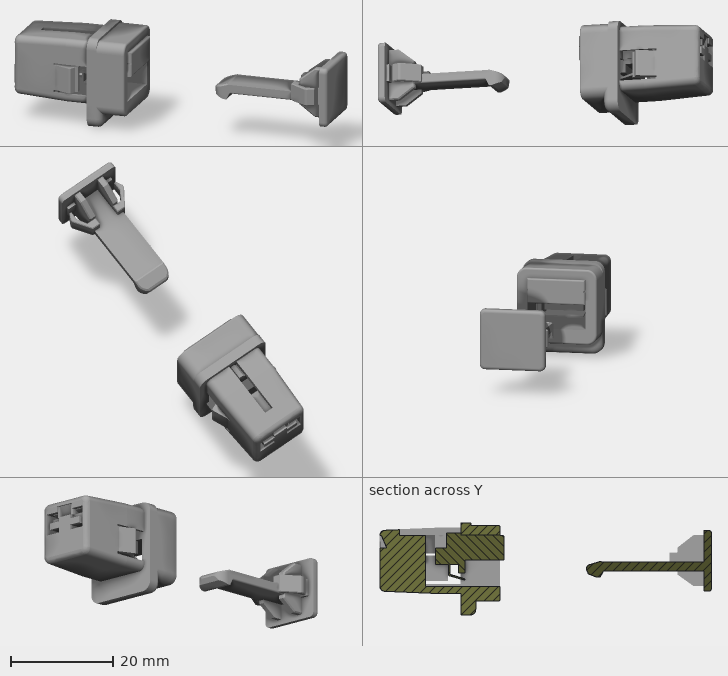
import cadquery as cq

NOSE_HALF = 6.0
PLUG_HALF = 6.45
PLUG_CORNER = 1.3
NOSE_ROUND = 1.05
TAPER_END = 11.0
FLANGE_START = 15.85
FLANGE_END = 17.9
FLANGE_HALF_WIDTH = 8.0
FLANGE_TOP = 7.4
FLANGE_BOTTOM = -10.65
OUTER_CORNER = 1.95
LIP_END = 18.85
LIP_ROUND = 1.2
BLOCK_END = 23.6
BLOCK_TOP = 6.95
BLOCK_BOTTOM = -7.9
BLOCK_EDGE_ROUND = 0.4

CAVITY_START = 9.0
CAVITY_HALF_WIDTH = 5.8
CAVITY_HALF_HEIGHT = 5.0
WINDOW_START = 8.4
WINDOW_TOP = 1.4
WINDOW_BOTTOM = -4.6
KEYWAY_START = 3.9
KEYWAY_HALF_WIDTH = 0.9
BRACKET_INNER = 1.5
BRACKET_OUTER = 4.9
BRACKET_WALL = 3.9
BRACKET_BOTTOM = -0.45
BRACKET_ARM_TOP = 0.5
BRACKET_UPPER_FLOOR = 1.8
BRACKET_TOP = 3.8
BRACKET_RECESS_BOTTOM = 2.7
BRACKET_RECESS_CEILING = 3.2
BRACKET_RECESS_MOUTH_TOP = 3.65
THROAT_HALF_WIDTH = 2.0
THROAT_FLOOR = 2.6
THROAT_TOP = 4.9
RAMP_START = 0.3
POCKET_DEPTH = 1.0
POCKET_UNDERCUT = 1.0

LATCH_ROOT = 8.85
LATCH_TOP = 1.05
LATCH_BOTTOM = -4.0
LATCH_ROOT_Y = 6.3
LATCH_CREST_START = 11.95
LATCH_CREST_END = 12.35
LATCH_PEAK = 7.6
LATCH_BEND = 12.9
LATCH_BEND_Y = 6.25
LATCH_TIP_Y = 6.0
LATCH_TIP = 13.4
LATCH_INNER = 5.2

INSERT_START = 10.85
INSERT_END = 24.4
INSERT_FRONT_HALF_WIDTH = BRACKET_WALL
INSERT_FRONT_BOTTOM = -0.8
INSERT_REAR_BOTTOM = 0.05
INSERT_EDGE_ROUND = 0.3
NOTCH_FLOOR = 2.6
NOTCH_END = 13.0
KEY_HALF_WIDTH = 0.45
KEY_HEIGHT = 0.5
LEG_START = 15.4
LEG_LENGTH = 1.3
LEG_BOTTOM = -2.5
STRIP_START = 13.45
STRIP_KNEE = -2.6
STRIP_END = 16.7
STRIP_END_BOTTOM = -3.85
STRIP_THICKNESS = 0.3
FRONT_GROOVE_Z = 0.05
REAR_GROOVE_Z = 2.7
GROOVE_HEIGHT = 0.4
GROOVE_DEPTH = 0.2

PLATE_START = 63.45
PLATE_END = 65.0
PLATE_HALF_WIDTH = 6.5
PLATE_HALF_HEIGHT = 6.0
PLATE_CORNER = 1.0
PLATE_EDGE_ROUND = 0.65
TONGUE_HALF_WIDTH = 3.45
TONGUE_TOP = -0.2
TONGUE_BOTTOM = -2.0
TONGUE_EDGE_ROUND = 0.3
TIP_START = 40.35
TIP_NOSE_Z = -1.55
TIP_SLOPE_START = 40.6
TIP_SLOPE_BOTTOM = -0.85
TIP_CREST = 43.2
TIP_TOP = -0.05
TIP_CREST_RUN = 0.3
TIP_CHIN = 40.8
TIP_CHIN_Z = -2.6
TIP_CORNER = 2.15
TIP_EDGE_CHAMFER = 0.25
HOOK_FOOT = -3.25
HOOK_FOOT_START = 42.5
HOOK_FOOT_LENGTH = 0.65
HOOK_BACK_RUN = 0.65
RIB_START = 58.3
RIB_SHOULDER = 61.5
RIB_INNER = 2.15
RIB_HALF_HEIGHT = 5.0
RIB_FRONT_TOP = 2.55
RIB_FRONT_BOTTOM = -2.7
RIB_EDGE_CHAMFER = 0.25
CLIP_START = 56.75
CLIP_ROOT_OUTER = 3.9
CLIP_ROOT_INNER = 4.1
CLIP_CREST_START = 60.3
CLIP_CREST_END = 60.85
CLIP_PEAK = 6.3
CLIP_END = 62.15
CLIP_END_OUTER = 5.65
CLIP_END_INNER = 5.2
CLIP_INNER_BEND = 60.25
CLIP_EDGE_CHAMFER = 0.16
CLIP_TOP = 1.6
CLIP_BOTTOM = -1.9
PAD_START = 62.85
PAD_INNER = 3.6
PAD_OUTER = 5.3
PAD_HALF_HEIGHT = 1.7


def box(x0, x1, y0, y1, z0, z1):
    """Axis-aligned box between two opposite corners."""
    size = (x1 - x0, y1 - y0, z1 - z0)
    return cq.Workplane("XY").box(*size, centered=False).translate((x0, y0, z0))


def rounded_block(x0, x1, half_width, z0, z1, corner):
    """Box symmetric about Y = 0 with its four lengthwise edges rounded."""
    return box(x0, x1, -half_width, half_width, z0, z1).edges("|X").fillet(corner)


def side_profile(points, y0, y1):
    """Prism with an (x, z) outline running from y0 to y1."""
    return cq.Workplane("XZ").polyline(points).close().extrude(y0 - y1).translate((0, y0, 0))


def plan_profile(points, z0, z1):
    """Prism with an (x, y) outline running from z0 to z1."""
    return cq.Workplane("XY").polyline(points).close().extrude(z1 - z0).translate((0, 0, z0))


def mirrored(shape):
    """The shape together with its mirror image across Y = 0."""
    return [shape, shape.mirror("XZ")]


def plug():
    """Square plug with rounded corners, tapering towards its nose."""
    nose = cq.Sketch().rect(2 * NOSE_HALF, 2 * NOSE_HALF).vertices().fillet(PLUG_CORNER)
    root = cq.Sketch().rect(2 * PLUG_HALF, 2 * PLUG_HALF).vertices().fillet(PLUG_CORNER)
    taper = cq.Workplane("YZ").placeSketch(nose, root.moved(cq.Location(cq.Vector(0, 0, TAPER_END)))).loft()
    taper = taper.faces("<X").edges().fillet(NOSE_ROUND)
    straight = rounded_block(TAPER_END, FLANGE_START, PLUG_HALF, -PLUG_HALF, PLUG_HALF, PLUG_CORNER)
    return taper.union(straight)


def flange():
    """Collar plate, thickened by a rounded lip along its lower end."""
    collar = rounded_block(
        FLANGE_START, FLANGE_END, FLANGE_HALF_WIDTH, FLANGE_BOTTOM, FLANGE_TOP, OUTER_CORNER
    )
    lip_top = BLOCK_BOTTOM + OUTER_CORNER
    lip = box(FLANGE_START, LIP_END, -FLANGE_HALF_WIDTH, FLANGE_HALF_WIDTH, FLANGE_BOTTOM, lip_top)
    lip = lip.edges("|X and <Z").fillet(OUTER_CORNER)
    lip = lip.faces(">X").edges("not >Z").fillet(LIP_ROUND)
    return collar.union(lip)


def rear_block():
    """Block behind the flange, with a rounded rear rim."""
    block = rounded_block(FLANGE_START, BLOCK_END, FLANGE_HALF_WIDTH, BLOCK_BOTTOM, BLOCK_TOP, OUTER_CORNER)
    return block.faces(">X").edges().fillet(BLOCK_EDGE_ROUND)


def throat():
    """Blind pocket in the middle of the nose, with an end wall that leans back towards its floor."""
    outline = [
        (0, THROAT_FLOOR),
        (0, THROAT_TOP),
        (RAMP_START, THROAT_TOP),
        (RAMP_START + POCKET_UNDERCUT, THROAT_FLOOR),
    ]
    ramp = side_profile(outline, -BRACKET_INNER, BRACKET_INNER)
    mouth = box(0, RAMP_START, -THROAT_HALF_WIDTH, THROAT_HALF_WIDTH, THROAT_FLOOR, THROAT_TOP)
    return ramp.union(mouth)


def bracket():
    """Bracket-shaped opening beside the throat: a slot into the cavity below, a blind pocket above."""
    wall = box(0, CAVITY_START, BRACKET_WALL, BRACKET_OUTER, BRACKET_BOTTOM, BRACKET_TOP)
    lower = box(0, CAVITY_START, BRACKET_INNER, BRACKET_OUTER, BRACKET_BOTTOM, BRACKET_ARM_TOP)
    middle = box(0, POCKET_DEPTH, BRACKET_INNER, BRACKET_OUTER, BRACKET_UPPER_FLOOR, THROAT_FLOOR)
    upper = box(0, POCKET_DEPTH, THROAT_HALF_WIDTH, BRACKET_OUTER, THROAT_FLOOR, BRACKET_TOP)
    recess = [
        (POCKET_DEPTH, BRACKET_RECESS_BOTTOM),
        (POCKET_DEPTH, BRACKET_RECESS_MOUTH_TOP),
        (POCKET_DEPTH + POCKET_UNDERCUT, BRACKET_RECESS_CEILING),
        (POCKET_DEPTH + POCKET_UNDERCUT, BRACKET_RECESS_BOTTOM),
    ]
    undercut = side_profile(recess, THROAT_HALF_WIDTH, BRACKET_WALL)
    return wall.union(lower).union(middle).union(upper).union(undercut)


def window():
    """Opening around the +Y latch, with a slit running further forward along each edge of it."""
    gap = box(LATCH_ROOT, FLANGE_START, LATCH_INNER, PLUG_HALF, WINDOW_BOTTOM, WINDOW_TOP)
    upper_slit = box(WINDOW_START, LATCH_ROOT, LATCH_INNER, PLUG_HALF, LATCH_TOP, WINDOW_TOP)
    lower_slit = box(WINDOW_START, LATCH_ROOT, LATCH_INNER, PLUG_HALF, WINDOW_BOTTOM, LATCH_BOTTOM)
    return gap.union(upper_slit).union(lower_slit)


def latch():
    """Springy side tongue with a ramped barb, on the +Y side."""
    outline = [
        (WINDOW_START, LATCH_INNER),
        (WINDOW_START, NOSE_HALF),
        (LATCH_ROOT, LATCH_ROOT_Y),
        (LATCH_CREST_START, LATCH_PEAK),
        (LATCH_CREST_END, LATCH_PEAK),
        (LATCH_BEND, LATCH_BEND_Y),
        (LATCH_TIP, LATCH_TIP_Y),
        (LATCH_TIP, LATCH_INNER),
    ]
    return plan_profile(outline, LATCH_BOTTOM, LATCH_TOP)


def make_housing():
    body = plug().union(flange()).union(rear_block())
    half_width = CAVITY_HALF_WIDTH
    half_height = CAVITY_HALF_HEIGHT
    cavity = box(CAVITY_START, BLOCK_END, -half_width, half_width, -half_height, half_height)
    keyway = box(
        KEYWAY_START, FLANGE_START, -KEYWAY_HALF_WIDTH, KEYWAY_HALF_WIDTH, half_height, PLUG_HALF
    )
    for opening in [cavity, keyway, throat()] + mirrored(bracket()) + mirrored(window()):
        body = body.cut(opening)
    for tongue in mirrored(latch()):
        body = body.union(tongue)
    return body


def insert_strip():
    """Thin bent strip hanging from the front of the insert."""
    outline = [
        (STRIP_START, INSERT_FRONT_BOTTOM),
        (STRIP_START, STRIP_KNEE - STRIP_THICKNESS),
        (STRIP_END, STRIP_END_BOTTOM),
        (STRIP_END, STRIP_END_BOTTOM + STRIP_THICKNESS),
        (STRIP_START + STRIP_THICKNESS, STRIP_KNEE),
        (STRIP_START + STRIP_THICKNESS, INSERT_FRONT_BOTTOM),
    ]
    return side_profile(outline, -INSERT_FRONT_HALF_WIDTH, INSERT_FRONT_HALF_WIDTH)


def side_groove(x0, x1, half_width, z):
    """Cutter for a lengthwise groove at height z in the +Y side."""
    z0 = z - GROOVE_HEIGHT / 2
    return box(x0, x1, half_width - GROOVE_DEPTH, half_width, z0, z0 + GROOVE_HEIGHT)


def make_insert():
    top = CAVITY_HALF_HEIGHT
    half_front = INSERT_FRONT_HALF_WIDTH
    rear = box(FLANGE_START, INSERT_END, -CAVITY_HALF_WIDTH, CAVITY_HALF_WIDTH, INSERT_REAR_BOTTOM, top)
    rear = rear.faces(">X").edges().fillet(INSERT_EDGE_ROUND)
    front = box(INSERT_START, FLANGE_START, -half_front, half_front, INSERT_FRONT_BOTTOM, top)
    leg = box(LEG_START, LEG_START + LEG_LENGTH, -half_front, half_front, LEG_BOTTOM, INSERT_REAR_BOTTOM)
    body = rear.union(front).union(leg).union(insert_strip())

    notch = box(INSERT_START, NOTCH_END, -BRACKET_INNER, BRACKET_INNER, NOTCH_FLOOR, top)
    body = body.cut(notch)

    key = box(NOTCH_END, FLANGE_START, -KEY_HALF_WIDTH, KEY_HALF_WIDTH, top, top + KEY_HEIGHT)
    body = body.union(key)

    front_groove = side_groove(STRIP_START, FLANGE_START, half_front, FRONT_GROOVE_Z)
    rear_groove = side_groove(BLOCK_END, INSERT_END, CAVITY_HALF_WIDTH, REAR_GROOVE_Z)
    for groove in mirrored(front_groove) + mirrored(rear_groove):
        body = body.cut(groove)
    return body


def tongue():
    """Long flat tongue ending in a sloped, hooked tip."""
    hook_foot_end = HOOK_FOOT_START + HOOK_FOOT_LENGTH
    outline = [
        (PLATE_START, TONGUE_BOTTOM),
        (PLATE_START, TONGUE_TOP),
        (TIP_CREST + TIP_CREST_RUN, TONGUE_TOP),
        (TIP_CREST, TIP_TOP),
        (TIP_SLOPE_START, TIP_SLOPE_BOTTOM),
        (TIP_START, TIP_NOSE_Z),
        (TIP_CHIN, TIP_CHIN_Z),
        (HOOK_FOOT_START, HOOK_FOOT),
        (hook_foot_end, HOOK_FOOT),
        (hook_foot_end + HOOK_BACK_RUN, TONGUE_BOTTOM),
    ]
    profile = side_profile(outline, -TONGUE_HALF_WIDTH, TONGUE_HALF_WIDTH)
    profile = profile.edges("|X").edges(cq.selectors.LengthNthSelector(-2)).fillet(TONGUE_EDGE_ROUND)
    plan = box(TIP_START, PLATE_START, -TONGUE_HALF_WIDTH, TONGUE_HALF_WIDTH, HOOK_FOOT, TIP_TOP)
    plan = plan.edges("|Z and <X").fillet(TIP_CORNER)
    blade = profile.intersect(plan)
    slope_middle = ((TIP_SLOPE_START + TIP_CREST) / 2, 0, (TIP_SLOPE_BOTTOM + TIP_TOP) / 2)
    slope = blade.faces(cq.selectors.NearestToPointSelector(slope_middle))
    return slope.edges("not >X").chamfer(TIP_EDGE_CHAMFER)


def rib():
    """Upright rib bracing the tongue against the plate, on the +Y side."""
    outline = [
        (PLATE_START, -RIB_HALF_HEIGHT),
        (RIB_SHOULDER, -RIB_HALF_HEIGHT),
        (RIB_START, RIB_FRONT_BOTTOM),
        (RIB_START, RIB_FRONT_TOP),
        (RIB_SHOULDER, RIB_HALF_HEIGHT),
        (PLATE_START, RIB_HALF_HEIGHT),
    ]
    brace = side_profile(outline, RIB_INNER, TONGUE_HALF_WIDTH)
    return brace.faces(">Y").edges("not >X").chamfer(RIB_EDGE_CHAMFER)


def clip():
    """Snap clip with a bent arm, on the +Y side."""
    outline = [
        (CLIP_START, RIB_INNER),
        (CLIP_START, CLIP_ROOT_OUTER),
        (CLIP_CREST_START, CLIP_PEAK),
        (CLIP_CREST_END, CLIP_PEAK),
        (CLIP_END, CLIP_END_OUTER),
        (CLIP_END, CLIP_END_INNER),
        (CLIP_INNER_BEND, CLIP_END_INNER),
        (RIB_START, CLIP_ROOT_INNER),
        (RIB_START, RIB_INNER),
    ]
    arm = plan_profile(outline, CLIP_BOTTOM, CLIP_TOP)
    return arm.faces("<Z or >Z").edges().chamfer(CLIP_EDGE_CHAMFER)


def make_plunger():
    plate = rounded_block(
        PLATE_START, PLATE_END, PLATE_HALF_WIDTH, -PLATE_HALF_HEIGHT, PLATE_HALF_HEIGHT, PLATE_CORNER
    )
    body = plate.faces(">X").edges().fillet(PLATE_EDGE_ROUND).union(tongue())
    pad = box(PAD_START, PLATE_START, PAD_INNER, PAD_OUTER, -PAD_HALF_HEIGHT, PAD_HALF_HEIGHT)
    for feature in (rib(), clip(), pad):
        for copy in mirrored(feature):
            body = body.union(copy)
    return body


housing = make_housing()
insert = make_insert()
plunger = make_plunger()

result = cq.Compound.makeCompound([housing.val(), insert.val(), plunger.val()])